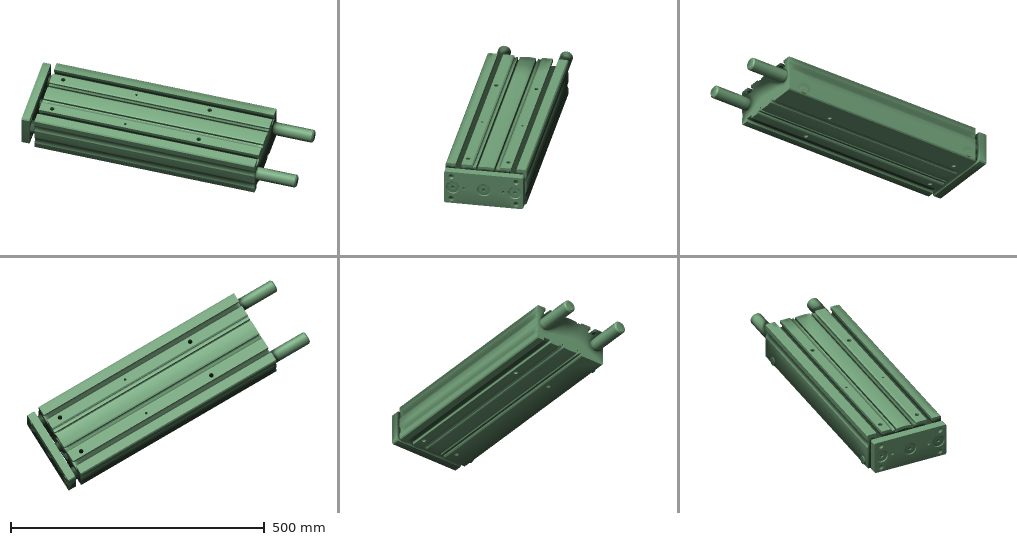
import cadquery as cq

TOTAL_LENGTH = 559.5
HOUSING_START = 27.5
HOUSING_LENGTH = 450.0
HOUSING_WIDTH = 162.0
HOUSING_HEIGHT = 78.0
HOUSING_CHAMFER = 2.0
TOP = HOUSING_HEIGHT / 2
SIDE = HOUSING_WIDTH / 2

GUIDE_DIAMETER = 26.0
GUIDE_Y = 62.0
GUIDE_END_CHAMFER = 3.0
PISTON_DIAMETER = 20.5
CAP_DIAMETER = 63.0
CAP_LENGTH = 28.0
CAP_HUB_DIAMETER = 34.5
CAP_RECESS = 11.0
CAP_END = HOUSING_START + CAP_LENGTH

PLATE_THICKNESS = 16.0
PLATE_WIDTH = 158.5
PLATE_HEIGHT = 69.5
PLATE_CHAMFER = 2.0
SEAT_DIAMETER = 24.0
SEAT_DEPTH = 2.0
CENTRE_HOLE_DIAMETER = 6.5
CENTRE_HOLE_DEPTH = 4.0
CORNER_HOLE_DIAMETER = 8.5
CORNER_HOLE_Y = 65.0
CORNER_HOLE_Z = 24.5
MOUTH_CHAMFER = 1.0
PIN_HOLE_DIAMETER = 5.5
PIN_HOLE_Y = 40.0

SLOT_Y = 55.5
SLOT_OPENING = 11.0
SLOT_LIP = 6.5
SLOT_INNER_WIDTH = 19.5
SLOT_DEPTH = 16.0
BOTTOM_SLOT_Y = 56.5
BOTTOM_SLOT_WIDTH = 15.5
BOTTOM_SLOT_DEPTH = 6.5

GROOVE_Z = 17.5
GROOVE_WIDTH = 15.5
GROOVE_DEPTH = 2.0

CROWN_HALF_WIDTH = 13.5
CROWN_DROP = 1.0
CROWN_RISE = 0.85
NARROW_SLOT_INNER_Y = 16.0
NARROW_SLOT_OUTER_Y = 20.0
NARROW_SLOT_DEPTH = 9.5
RIDGE_DROP = 3.0
STRIP_FLOOR_DROP = 5.0
STRIP_WALL_Y = 27.0
STRIP_HALF_WIDTH = 29.5
STRIP_CHAMFER = 1.5

MOUNT_HOLE_DIAMETER = 9.0
MOUNT_HOLE_Y = 40.5
MOUNT_HOLE_X = 52.0
MOUNT_HOLE_PITCH = 300.0
DOWEL_HOLE_DIAMETER = 5.0
DOWEL_HOLE_DEPTH = 8.5

BOSS_DIAMETER = 17.5
BOSS_HEIGHT = 3.0
BOSS_X = (45.0, 443.0)
BOSS_Z = -28.0


def rod(diameter, start, end, y=0):
    """Round bar along X."""
    return cq.Workplane("YZ", origin=(start, y, 0)).circle(diameter / 2).extrude(end - start)


def bar(outline):
    """Extrude an outline drawn on the housing's end face over the housing length."""
    return outline.extrude(HOUSING_LENGTH)


def end_face():
    return cq.Workplane("YZ", origin=(HOUSING_START, 0, 0))


def t_slot(y):
    opening = bar(end_face().center(y, TOP - SLOT_DEPTH / 2).rect(SLOT_OPENING, SLOT_DEPTH))
    chamber_height = SLOT_DEPTH - SLOT_LIP
    chamber_z = TOP - SLOT_LIP - chamber_height / 2
    return opening.union(bar(end_face().center(y, chamber_z).rect(SLOT_INNER_WIDTH, chamber_height)))


def bottom_slot():
    z = BOTTOM_SLOT_DEPTH / 2 - TOP
    return bar(end_face().center(-BOTTOM_SLOT_Y, z).rect(BOTTOM_SLOT_WIDTH, BOTTOM_SLOT_DEPTH))


def side_groove(wall_y, bottom_y, z):
    half = GROOVE_WIDTH / 2
    lower_edge = end_face().moveTo(wall_y, z - half)
    return bar(lower_edge.threePointArc((bottom_y, z), (wall_y, z + half)).close())


def middle_strip(face):
    """Material removed over the cylinder; face is 1 for the top and -1 for the bottom."""
    crown_edge = TOP - CROWN_DROP - CROWN_RISE
    half_outline = [
        (CROWN_HALF_WIDTH, crown_edge),
        (NARROW_SLOT_INNER_Y, TOP - RIDGE_DROP),
        (NARROW_SLOT_INNER_Y, TOP - NARROW_SLOT_DEPTH),
        (NARROW_SLOT_OUTER_Y, TOP - NARROW_SLOT_DEPTH),
        (NARROW_SLOT_OUTER_Y, TOP - RIDGE_DROP),
        (STRIP_WALL_Y, TOP - STRIP_FLOOR_DROP),
        (STRIP_WALL_Y, TOP - STRIP_CHAMFER),
        (STRIP_HALF_WIDTH, TOP),
    ]
    right = [(y, face * z) for y, z in half_outline]
    left = [(-y, z) for y, z in reversed(right)]
    outline = end_face().polyline(right + left)
    return bar(outline.threePointArc((0, face * (TOP - CROWN_DROP)), right[0]).close())


def add_mounting_holes(body):
    end_x = MOUNT_HOLE_X + MOUNT_HOLE_PITCH
    middle_x = MOUNT_HOLE_X + MOUNT_HOLE_PITCH / 2
    rows = (-MOUNT_HOLE_Y, MOUNT_HOLE_Y)
    through_points = [(x, y) for x in (MOUNT_HOLE_X, end_x) for y in rows]
    dowel_points = [(middle_x, y) for y in rows]
    top_face = cq.Workplane(origin=(0, 0, TOP))
    through = top_face.pushPoints(through_points).circle(MOUNT_HOLE_DIAMETER / 2).extrude(-HOUSING_HEIGHT)
    dowels = top_face.pushPoints(dowel_points).circle(DOWEL_HOLE_DIAMETER / 2).extrude(-DOWEL_HOLE_DEPTH)
    return body.cut(through).cut(dowels)


def port_boss(x):
    """Disc standing on the +Y side, rooted inside the wall by its own height."""
    root = cq.Workplane("XZ", origin=(x, SIDE - BOSS_HEIGHT, BOSS_Z))
    return root.circle(BOSS_DIAMETER / 2).extrude(-2 * BOSS_HEIGHT)


def make_housing():
    body = bar(end_face().rect(HOUSING_WIDTH, HOUSING_HEIGHT)).edges("|X").chamfer(HOUSING_CHAMFER)
    for y in (-SLOT_Y, SLOT_Y):
        body = body.cut(t_slot(y))
    body = body.cut(bottom_slot())
    groove_bottom = SIDE - GROOVE_DEPTH
    for z in (-GROOVE_Z, GROOVE_Z):
        body = body.cut(side_groove(-SIDE, -groove_bottom, z))
    body = body.cut(side_groove(SIDE, groove_bottom, GROOVE_Z))
    for face in (-1, 1):
        body = body.cut(middle_strip(face))
    body = add_mounting_holes(body)
    for x in BOSS_X:
        body = body.union(port_boss(x))
    for y in (-GUIDE_Y, GUIDE_Y):
        body = body.cut(rod(GUIDE_DIAMETER, HOUSING_START, HOUSING_START + HOUSING_LENGTH, y))
    return body.cut(rod(CAP_DIAMETER, HOUSING_START, CAP_END))


def make_plate():
    plate = cq.Workplane("YZ").rect(PLATE_WIDTH, PLATE_HEIGHT).extrude(PLATE_THICKNESS)
    plate = plate.edges("|X").chamfer(PLATE_CHAMFER)
    corners = [(y, z) for y in (-CORNER_HOLE_Y, CORNER_HOLE_Y) for z in (-CORNER_HOLE_Z, CORNER_HOLE_Z)]
    seats = [(y, 0) for y in (-GUIDE_Y, 0, GUIDE_Y)]
    pins = [(y, 0) for y in (-PIN_HOLE_Y, PIN_HOLE_Y)]
    front = cq.Workplane("YZ")
    plate = plate.cut(front.pushPoints(corners).circle(CORNER_HOLE_DIAMETER / 2).extrude(PLATE_THICKNESS))
    plate = plate.cut(front.pushPoints(seats).circle(SEAT_DIAMETER / 2).extrude(SEAT_DEPTH))
    plate = plate.faces("<X").edges("%CIRCLE").chamfer(MOUTH_CHAMFER)
    plate = plate.cut(front.pushPoints(pins).circle(PIN_HOLE_DIAMETER / 2).extrude(PLATE_THICKNESS))
    centre_hole_end = SEAT_DEPTH + CENTRE_HOLE_DEPTH
    return plate.cut(front.pushPoints(seats).circle(CENTRE_HOLE_DIAMETER / 2).extrude(centre_hole_end))


def make_end_cap(piston_rod):
    """Disc sunk in the housing bore, with a hub around the piston rod that reaches the end face."""
    disc = rod(CAP_DIAMETER, HOUSING_START + CAP_RECESS, CAP_END)
    hub = rod(CAP_HUB_DIAMETER, HOUSING_START, CAP_END)
    return disc.union(hub).cut(piston_rod)


def make_guide_rod(y):
    return rod(GUIDE_DIAMETER, PLATE_THICKNESS, TOTAL_LENGTH, y).faces(">X").chamfer(GUIDE_END_CHAMFER)


housing = make_housing()
plate = make_plate()
piston_rod = rod(PISTON_DIAMETER, PLATE_THICKNESS, CAP_END)
end_cap = make_end_cap(piston_rod)
guide_rods = [make_guide_rod(y) for y in (-GUIDE_Y, GUIDE_Y)]

result = cq.Compound.makeCompound(
    [housing.val(), plate.val(), piston_rod.val(), end_cap.val(), *[guide.val() for guide in guide_rods]]
)